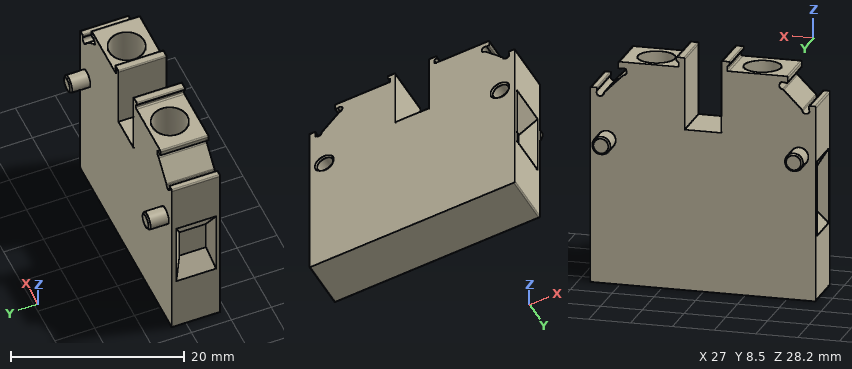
import cadquery as cq

width = 27.0
height = 28.2
thickness = 6.03
total_depth = 8.5
half_width = width / 2
corner_radius = 0.17

mirror_sum = 13.53
lug_height = 23.68
lug_thickness = 0.82
groove_x = -12.32
groove_z = 23.1
groove_radius = 0.42
slope_edge_radius = 0.28
lug_edge_radius = 0.1
shelf_height = mirror_sum + half_width

slot_half_width = 2.2
slot_floor = 19.48
rib_thickness = 0.7
hook_overhang = 0.3
hook_thickness = 0.35
hook_edge_radius = 0.15
rib_root_radius = 0.17

pin_x = 11.53
pin_z = 17.45
pin_diameter = 2.17
pin_length = total_depth - thickness
pin_chamfer = 0.2
socket_diameter = 2.1
socket_mouth_diameter = 2.48
socket_chamfer = (socket_mouth_diameter - socket_diameter) / 2
socket_clearance = 0.1
socket_depth = pin_length + socket_clearance

screw_x = 6.35
screw_y = 3.25
screw_diameter = 4.4
screw_depth = 8.45

entry_mouth_y = (0.5, 5.47)
entry_mouth_z = (7.8, 16.83)
entry_floor_y = (1.0, 4.3)
entry_floor_z = (9.85, 13.85)
entry_depth = 1.83


def mirrored(point):
    """Reflect an (x, z) point across the shoulder's 45 degree mirror line."""
    x, z = point
    return (mirror_sum - z, mirror_sum - x)


def prism(sketch):
    """Extrude an XZ outline through the housing thickness."""
    return sketch.extrude(-thickness)


def round_edges(body, points, radius):
    """Fillet the edges along Y that pass through the given (x, z) points."""
    reach = 0.015
    for x, z in points:
        corner = cq.selectors.BoxSelector(
            (x - reach, -reach, z - reach), (x + reach, thickness + reach, z + reach)
        )
        body = body.edges("|Y").edges(corner).fillet(radius)
    return body


def half_housing():
    """Left half of the housing, up to the plane X = 0."""
    lug_inner_x = lug_thickness - half_width
    lug_outer = (-half_width, lug_height)
    lug_inner = (lug_inner_x, lug_height)
    lug_root = (lug_inner_x, groove_z)
    slope_foot = (groove_x + groove_radius, groove_z)
    shelf_tip = mirrored(lug_outer)
    shelf_under = mirrored(lug_inner)

    neck_x = -slot_half_width - rib_thickness
    hook_x = neck_x - hook_overhang
    hook_under = height - hook_thickness
    rib_root = (neck_x, shelf_height)
    hook_low = (hook_x, hook_under)
    hook_top = (hook_x, height)
    rib_top = (-slot_half_width, height)
    base_corner = (-half_width, 0)

    outline = cq.Workplane("XZ").polyline([
        (0, 0), base_corner, lug_outer, lug_inner, lug_root, slope_foot,
        mirrored(slope_foot), mirrored(lug_root), shelf_under, shelf_tip,
        rib_root, (neck_x, hook_under - hook_overhang), hook_low, hook_top, rib_top,
        (-slot_half_width, slot_floor), (0, slot_floor),
    ]).close()
    body = prism(outline)

    body = round_edges(body, [base_corner, lug_outer, shelf_tip], corner_radius)
    body = round_edges(body, [rib_root], rib_root_radius)
    body = round_edges(body, [lug_inner, shelf_under], lug_edge_radius)
    body = round_edges(body, [hook_low, hook_top, rib_top], hook_edge_radius)

    groove_center = (groove_x, groove_z)
    grooves = cq.Workplane("XZ").pushPoints([groove_center, mirrored(groove_center)])
    body = body.cut(prism(grooves.circle(groove_radius)))
    return round_edges(body, [slope_foot, mirrored(slope_foot)], slope_edge_radius)


def pins():
    """Chamfered pins standing on the back face."""
    root = cq.Workplane("XZ", origin=(0, thickness, 0))
    blank = root.pushPoints([(-pin_x, pin_z), (pin_x, pin_z)]).circle(pin_diameter / 2)
    return blank.extrude(-pin_length).faces(">Y").chamfer(pin_chamfer)


def sockets():
    """Blind sockets with a chamfered mouth, as solids to remove."""
    socket_radius = socket_diameter / 2
    section = cq.Workplane("XY").polyline([
        (0, 0), (socket_radius + socket_chamfer, 0), (socket_radius, socket_chamfer),
        (socket_radius, socket_depth), (0, socket_depth),
    ]).close()
    socket = section.revolve(360, (0, 0, 0), (0, 1, 0))
    return socket.translate((-pin_x, 0, pin_z)).union(socket.translate((pin_x, 0, pin_z)))


def screw_holes():
    """Blind round holes going down from the shelves, as solids to remove."""
    shelf = cq.Workplane("XY", origin=(0, screw_y, shelf_height))
    return shelf.pushPoints([(-screw_x, 0), (screw_x, 0)]).circle(screw_diameter / 2).extrude(-screw_depth)


def rectangle_points(y_limits, z_limits):
    """Corners of a rectangle in the YZ plane."""
    y_low, y_high = y_limits
    z_low, z_high = z_limits
    return [(y_low, z_low), (y_high, z_low), (y_high, z_high), (y_low, z_high)]


def wire_entry():
    """Tapered pocket in the left end, as a solid to remove."""
    mouth = cq.Workplane("YZ", origin=(-half_width, 0, 0))
    mouth = mouth.polyline(rectangle_points(entry_mouth_y, entry_mouth_z)).close()
    floor = mouth.workplane(offset=entry_depth)
    return floor.polyline(rectangle_points(entry_floor_y, entry_floor_z)).close().loft(ruled=True)


left_half = half_housing().cut(wire_entry())
housing = left_half.union(left_half.mirror("YZ"))
result = housing.union(pins()).cut(sockets()).cut(screw_holes())